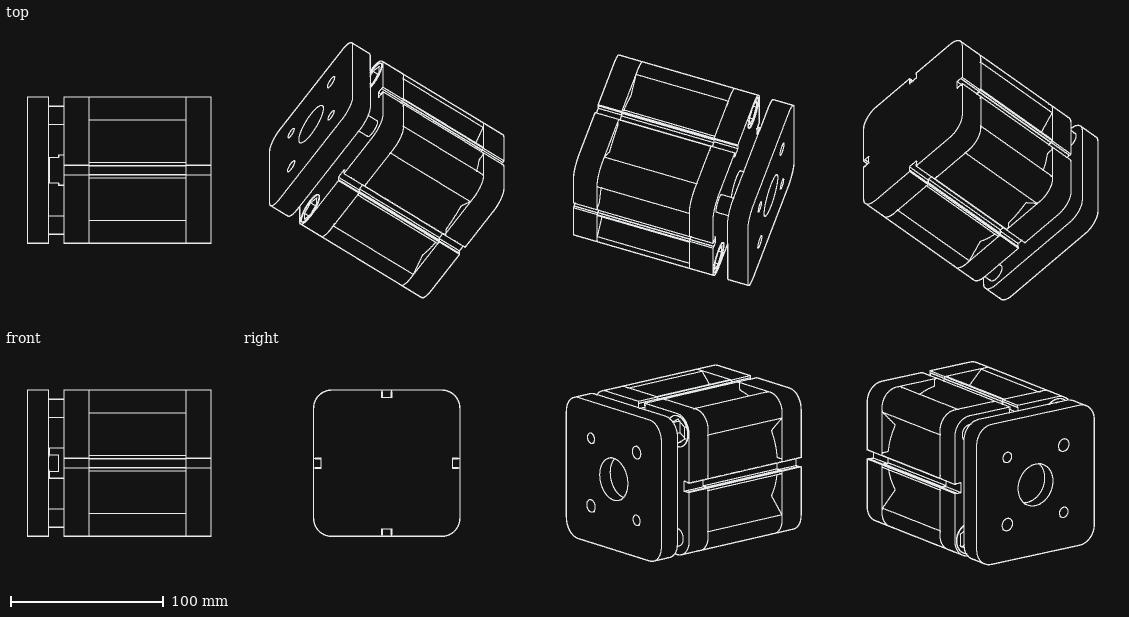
import cadquery as cq
import math


length = 120.5
width = 96.0
corner_radius = 12
half_width = width / 2
corner_offset = half_width - corner_radius

plate_thickness = 14.0
gap = 10.0
cap_thickness = 16.4
front_cap_x = plate_thickness + gap
barrel_x = front_cap_x + cap_thickness
rear_cap_x = length - cap_thickness
barrel_length = rear_cap_x - barrel_x

plate_bore_diameter = 28.4
plate_bore_depth = 9.0
plate_hole_offset = 23.0
pin_hole_diameter = 7.0
screw_hole_diameter = 8.4

guide_diameter = 12
rod_diameter = 20.0
rod_chamfer = 0.5
flat_width = 17.0
flat_length = 6.6

seat_diameter = 21.0
seat_depth = 0.5
socket_flats = 14.0
socket_depth = 8.0

slot_width = 6.3
slot_depth = 5.1
slot_lip_depth = 1.5
cap_channel_width = 6.7
barrel_channel_width = 5.3

tube_radius = 43.3
rail_half_width = 5.1
flank_foot_y = 22.2
flank_top_y = 32.9
rail_fillet = 1.0
pocket_fillet = 1.0


def rod_along_x(x, diameter, rod_length, y=0, z=0):
    return cq.Workplane("YZ", origin=(x, y, z)).circle(diameter / 2).extrude(rod_length)


def rounded_bar(x, bar_length):
    bar = cq.Workplane("YZ", origin=(x, 0, 0)).rect(width, width).extrude(bar_length)
    return bar.edges("|X").fillet(corner_radius)


def cap_slot(x):
    """Undercut slot in the middle of the +Z side."""
    channel_depth = slot_depth - slot_lip_depth
    mouth = (
        cq.Workplane("YZ", origin=(x, 0, half_width - slot_lip_depth / 2))
        .rect(slot_width, slot_lip_depth)
        .extrude(cap_thickness)
    )
    channel = (
        cq.Workplane("YZ", origin=(x, 0, half_width - slot_lip_depth - channel_depth / 2))
        .rect(cap_channel_width, channel_depth)
        .extrude(cap_thickness)
    )
    return mouth.union(channel)


def slotted_cap(x):
    cap = rounded_bar(x, cap_thickness)
    for side in range(4):
        cap = cap.cut(cap_slot(x).rotate((0, 0, 0), (1, 0, 0), 90 * side))
    return cap


def make_guide_plate():
    """Plate with a pair of guide rods on opposite corners of its back."""
    plate = rounded_bar(0, plate_thickness)
    plate = plate.cut(rod_along_x(0, plate_bore_diameter, plate_bore_depth))
    for y in (-plate_hole_offset, plate_hole_offset):
        plate = plate.cut(rod_along_x(0, pin_hole_diameter, plate_thickness, y, y))
        plate = plate.cut(rod_along_x(0, screw_hole_diameter, plate_thickness, y, -y))
    for offset in (-corner_offset, corner_offset):
        plate = plate.union(rod_along_x(plate_thickness, guide_diameter, gap, offset, offset))
    return plate


def make_piston_rod():
    rod = rod_along_x(plate_thickness, rod_diameter, gap).faces("<X").chamfer(rod_chamfer)
    around_flats = (
        cq.Workplane("YZ", origin=(plate_thickness, 0, 0))
        .rect(2 * rod_diameter, 2 * rod_diameter)
        .rect(flat_width, 2 * rod_diameter)
        .extrude(flat_length)
    )
    return rod.cut(around_flats)


def make_front_cap():
    cap = slotted_cap(front_cap_x)
    for y, z in ((-corner_offset, corner_offset), (corner_offset, -corner_offset)):
        cap = cap.cut(rod_along_x(front_cap_x, seat_diameter, seat_depth, y, z))
        socket = (
            cq.Workplane("YZ", origin=(front_cap_x, y, z))
            .polygon(6, socket_flats, circumscribed=True)
            .extrude(seat_depth + socket_depth)
        )
        cap = cap.cut(socket)
    return cap


def barrel_eighth():
    """Outline from the middle of the +Z slot to the +Y +Z diagonal, as a list of edges."""
    slot_floor = half_width - slot_depth
    flank_top_z = corner_offset + math.sqrt(corner_radius**2 - (flank_top_y - corner_offset) ** 2)
    foot_z = math.sqrt(tube_radius**2 - flank_foot_y**2)
    wall_foot_z = math.sqrt(tube_radius**2 - rail_half_width**2)
    tube_y = (rail_half_width + flank_foot_y) / 2
    tube_z = math.sqrt(tube_radius**2 - tube_y**2)
    diagonal = corner_offset + corner_radius * math.sqrt(0.5)

    def point(y, z):
        return cq.Vector(barrel_x, y, z)

    slot_and_rail = (
        (0, slot_floor),
        (barrel_channel_width / 2, slot_floor),
        (barrel_channel_width / 2, half_width - slot_lip_depth),
        (slot_width / 2, half_width - slot_lip_depth),
        (slot_width / 2, half_width),
        (rail_half_width, half_width),
        (rail_half_width, wall_foot_z),
    )
    flank = ((flank_foot_y, foot_z), (flank_top_y, flank_top_z))
    straight = [*zip(slot_and_rail, slot_and_rail[1:]), flank]
    round_stretches = (
        ((rail_half_width, wall_foot_z), (tube_y, tube_z), (flank_foot_y, foot_z)),
        ((flank_top_y, flank_top_z), (corner_offset, half_width), (diagonal, diagonal)),
    )
    edges = [cq.Edge.makeLine(point(*a), point(*b)) for a, b in straight]
    edges += [cq.Edge.makeThreePointArc(point(*a), point(*b), point(*c)) for a, b, c in round_stretches]
    return edges


def edges_at_radius(body, radius):
    """The edges along X at this distance from the cylinder axis."""

    def is_at_radius(edge):
        center = edge.Center()
        return math.isclose(math.hypot(center.y, center.z), radius, abs_tol=0.01)

    return body.edges("|X").filter(is_at_radius)


def make_barrel():
    half_side = barrel_eighth()
    side = half_side + [edge.mirror("XZ") for edge in half_side]
    axis_start, axis_end = cq.Vector(0, 0, 0), cq.Vector(1, 0, 0)
    outline = [edge.rotate(axis_start, axis_end, 90 * turn) for turn in range(4) for edge in side]
    wire = cq.Wire.combine(outline)[0]
    prism = cq.Solid.extrudeLinear(wire, [], cq.Vector(barrel_length, 0, 0))
    barrel = cq.Workplane(prism.clean())
    barrel = edges_at_radius(barrel, math.hypot(rail_half_width, half_width)).fillet(rail_fillet)
    return edges_at_radius(barrel, tube_radius).fillet(pocket_fillet)


guide_plate = make_guide_plate()
piston_rod = make_piston_rod()
front_cap = make_front_cap()
barrel = make_barrel()
rear_cap = slotted_cap(rear_cap_x)

result = cq.Compound.makeCompound(
    [guide_plate.val(), piston_rod.val(), front_cap.val(), barrel.val(), rear_cap.val()]
)